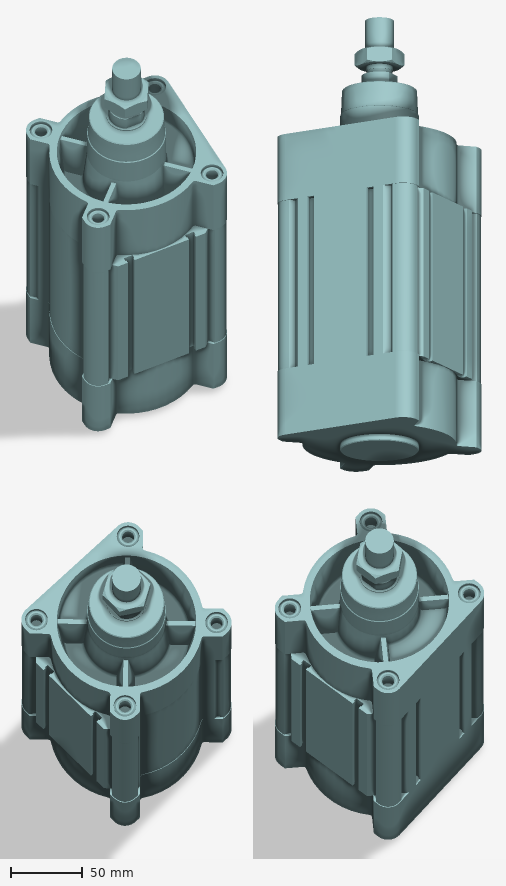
import cadquery as cq
import math

total_height = 311.5
collar_height = 4.5
cap_height = 48.0
barrel_height = 122.0
barrel_bottom = collar_height + cap_height
barrel_top = barrel_bottom + barrel_height
cap_top = barrel_top + cap_height
guide_height = 20.5
guide_top = cap_top + guide_height
nose_height = 17.8
nose_top = guide_top + nose_height
wiper_lip_height = 0.9

thread_length = 40.0
shoulder = total_height - thread_length
relief_length = 3.5
nut_height = 11.0
nut_bottom = shoulder + 6.5
nut_top = nut_bottom + nut_height

cap_width = 110.0
bolt_spacing = 89.0
bolt_offset = bolt_spacing / 2
corner_radius = (cap_width - bolt_spacing) / 2
wall_radius = 54.0
lobe_width = 20.8
valley_fillet = 2.0
guide_diameter = 55.0
edge_chamfer = 0.6

barrel_width = 109.0
barrel_wall_radius = wall_radius - 0.3
barrel_corner_radius = (barrel_width - bolt_spacing) / 2
notch_floor = 50.7
notch_inner = 38.9
notch_outer = 41.7
panel_half_width = 34.2
slot_position = 23.9
slot_mouth = 5.4
slot_inner_width = 6.8
slot_depth = 4.8
slot_lip = 2.2

deep_pocket_depth = 30.0
shallow_pocket_depth = 13.0
recess_rim_radius = 48.7
deep_wall_foot = 44.0
deep_hub_foot = 30.7
shallow_wall_foot = 47.0
shallow_hub_foot = 28.6
recess_fillet = 2.0
rib_drop = 2.7
rib_top_half_width = 1.7
rib_base_half_width = 6.4

nose_base_diameter = 54.0
nose_top_diameter = 52.4
wiper_lip_diameter = 28.0

screw_recess_diameter = 15.8
screw_recess_depth = 3.0
screw_head_diameter = 15.0
screw_head_drop = 0.8
screw_head_chamfer = 1.3
screw_hole_diameter = 8.38
screw_hole_depth = 12.0
screw_hole_countersink = 10.4

rod_diameter = 25.0
rod_flats = 22.0
flat_bottom = nose_top + wiper_lip_height
thread_diameter = 20.0
thread_end_diameter = 18.63
relief_diameter = 17.9
rod_bottom = barrel_top
nut_across_flats = 30.0
nut_chamfer_angle = math.radians(30)


def block(width, depth, bottom, top):
    """Box centred on the Z axis."""
    return cq.Workplane("XY").workplane(offset=bottom).rect(width, depth).extrude(top - bottom)


def disc(diameter, bottom, top):
    """Cylinder on the Z axis."""
    return cq.Workplane("XY").workplane(offset=bottom).circle(diameter / 2).extrude(top - bottom)


def plate(points, bottom, top):
    """Straight extrusion of a closed polygon."""
    return cq.Workplane("XY").workplane(offset=bottom).polyline(points).close().extrude(top - bottom)


def corner_lobes(width, radius, bottom, top):
    """Four lobes around the corner screws: two diagonal bands trimmed to a rounded square."""
    square = block(width, width, bottom, top).edges("|Z").fillet(radius)
    band = block(2 * width, lobe_width, bottom, top)
    bands = band.rotate((0, 0, 0), (0, 0, 1), 45).union(band.rotate((0, 0, 0), (0, 0, 1), -45))
    return square.intersect(bands)


def end_cap(bottom, top):
    """Round cap with four corner lobes and a full flat on the +Y side."""
    body = disc(2 * wall_radius, bottom, top).union(corner_lobes(cap_width, corner_radius, bottom, top))
    half_width = cap_width / 2
    flat_start = wall_radius / 2
    flat_side = block(bolt_spacing, half_width - flat_start, bottom, top)
    body = body.union(flat_side.translate((0, (half_width + flat_start) / 2, 0)))
    near, far = lobe_valley(wall_radius)
    valleys = [(near, -far), (-near, -far), (far, near), (-far, near), (far, -near), (-far, -near)]
    return fillet_valleys(body, valleys, (bottom + top) / 2)


def lobe_valley(radius):
    """Smaller and larger coordinate of the concave corner between a round wall and a lobe."""
    offset = lobe_width / math.sqrt(2)
    near = (math.sqrt(2 * radius ** 2 - offset ** 2) - offset) / 2
    return near, near + offset


def fillet_valleys(body, valleys, middle):
    """Round the upright concave corners at the given XY positions."""
    for x, y in valleys:
        corner = cq.selectors.NearestToPointSelector((x, y, middle))
        body = body.edges(corner).fillet(valley_fillet)
    return body


def barrel():
    """Profile barrel: notched corner lobes and slotted panels on three sides."""
    bottom, top = barrel_bottom, barrel_top
    half_width = barrel_width / 2
    lobes = corner_lobes(barrel_width, barrel_corner_radius, bottom, top)
    outside = cap_width
    notch = plate(
        [(0, notch_floor), (notch_inner, notch_floor), (notch_outer, half_width), (notch_outer, outside), (0, outside)],
        bottom, top,
    )
    notch = notch.union(notch.mirror("YZ"))
    for quarter in range(4):
        lobes = lobes.cut(notch.rotate((0, 0, 0), (0, 0, 1), 90 * quarter))
    body = disc(2 * barrel_wall_radius, bottom, top).union(lobes)
    near, far = lobe_valley(barrel_wall_radius)
    body = fillet_valleys(body, [(near, -far), (-near, -far)], (bottom + top) / 2)
    panel = slotted_panel(bottom, top)
    for angle in (0, 90, 180):
        body = body.union(panel.rotate((0, 0, 0), (0, 0, 1), angle))
    for angle in (0, 90, 180):
        body = body.cut(panel_slots(bottom, top).rotate((0, 0, 0), (0, 0, 1), angle))
    return body


def slotted_panel(bottom, top):
    """Flat panel on the +X side with 45-degree edges running down to the notch floor."""
    face = cap_width / 2
    foot = panel_half_width + face - notch_floor
    inner = wall_radius / 2
    return plate(
        [(inner, -inner), (notch_floor, -foot), (face, -panel_half_width),
         (face, panel_half_width), (notch_floor, foot), (inner, inner)],
        bottom, top,
    )


def panel_slots(bottom, top):
    """Pair of sensor slots on the +X side, each wider behind its mouth."""
    face = cap_width / 2
    inner_depth = slot_depth - slot_lip
    mouth = block(slot_depth, slot_mouth, bottom, top).translate((face - slot_depth / 2, 0, 0))
    wide = block(inner_depth, slot_inner_width, bottom, top)
    slot = mouth.union(wide.translate((face - slot_depth + inner_depth / 2, 0, 0)))
    return slot.translate((0, slot_position, 0)).union(slot.translate((0, -slot_position, 0)))


def ring_pocket(depth, wall_foot_radius, hub_foot_radius, start_angle, sweep):
    """Drafted pocket around the hub, rounded at its floor, sweeping part of a ring from an angle off +X."""
    hub_radius = guide_diameter / 2
    floor = cap_top - depth
    pocket = (
        cq.Workplane("XZ")
        .polyline([(hub_radius, cap_top), (recess_rim_radius, cap_top),
                   (wall_foot_radius, floor), (hub_foot_radius, floor)])
        .close()
        .revolve(sweep, (0, 0, 0), (0, 1, 0))
    )
    pocket = pocket.faces("<Z").edges("%CIRCLE").fillet(recess_fillet)
    return pocket.rotate((0, 0, 0), (0, 0, 1), start_angle)


def recess_ribs():
    """Four diagonal ribs with sloping flanks that tie the hub to the cap wall."""
    floor = cap_top - deep_pocket_depth
    top = cap_top - rib_drop
    length = 2 * recess_rim_radius + 2 * recess_fillet
    rib = (
        cq.Workplane("YZ")
        .polyline([(-rib_base_half_width, floor), (-rib_top_half_width, top),
                   (rib_top_half_width, top), (rib_base_half_width, floor)])
        .close()
        .extrude(length / 2, both=True)
    )
    return rib.rotate((0, 0, 0), (0, 0, 1), 45).union(rib.rotate((0, 0, 0), (0, 0, 1), -45))


def front_recess():
    """Pockets between the ribs: a shallow one in the +Y quarter and a deep one around the rest."""
    ribs = recess_ribs()
    deep = ring_pocket(deep_pocket_depth, deep_wall_foot, deep_hub_foot, 135, 270)
    shallow = ring_pocket(shallow_pocket_depth, shallow_wall_foot, shallow_hub_foot, 45, 90)
    return deep.cut(ribs), shallow.cut(ribs)


def bearing_nose():
    """Guide cylinder, tapered nose and wiper lip around the rod."""
    guide = disc(guide_diameter, barrel_top, guide_top).faces(">Z").edges().chamfer(edge_chamfer)
    nose = (
        cq.Workplane("XY").workplane(offset=guide_top).circle(nose_base_diameter / 2)
        .workplane(offset=nose_height).circle(nose_top_diameter / 2).loft()
    )
    nose = nose.faces(">Z").edges().chamfer(edge_chamfer)
    lip = disc(wiper_lip_diameter, nose_top, nose_top + wiper_lip_height)
    return guide.union(nose).union(lip)


def screw_recess():
    """Counterbore holding a hollow screw head, as the volume removed at one corner."""
    bottom = cap_top - screw_recess_depth
    head_top = cap_top - screw_head_drop
    head = disc(screw_head_diameter, bottom, head_top).faces(">Z").edges().chamfer(screw_head_chamfer)
    hole = disc(screw_hole_diameter, head_top - screw_hole_depth, cap_top)
    sink = (screw_hole_countersink - screw_hole_diameter) / 2
    countersink = (
        cq.Workplane("XY").workplane(offset=head_top - sink).circle(screw_hole_diameter / 2)
        .workplane(offset=sink).circle(screw_hole_countersink / 2).loft()
    )
    return disc(screw_recess_diameter, bottom, cap_top).cut(head).union(hole).union(countersink)


def make_housing():
    """Cylinder housing: rear cap, barrel, front cap and bearing nose in one piece."""
    collar = disc(guide_diameter, 0, collar_height).faces("<Z").edges().chamfer(edge_chamfer)
    body = collar.union(end_cap(collar_height, barrel_bottom)).union(barrel())
    front_cap = end_cap(barrel_top, cap_top)
    for pocket in front_recess():
        front_cap = front_cap.cut(pocket)
    body = body.union(front_cap)
    body = body.union(bearing_nose())
    for x in (-bolt_offset, bolt_offset):
        for y in (-bolt_offset, bolt_offset):
            body = body.cut(screw_recess().translate((x, y, 0)))
    return body.cut(disc(rod_diameter, rod_bottom, nose_top + wiper_lip_height))


def make_rod():
    """Piston rod with spanner flats, thread relief and threaded end."""
    flats = block(rod_flats, rod_diameter, flat_bottom, shoulder)
    body = disc(rod_diameter, rod_bottom, flat_bottom)
    body = body.union(disc(rod_diameter, flat_bottom, shoulder).intersect(flats))
    body = body.union(disc(relief_diameter, shoulder, shoulder + relief_length))
    body = body.union(disc(thread_end_diameter, shoulder + relief_length, nut_bottom))
    return body.union(disc(thread_diameter, nut_bottom, total_height))


def make_nut():
    """Hexagon nut with corners on the Y axis and chamfered on both faces."""
    across_corners = nut_across_flats / math.cos(math.radians(30))
    hexagon = cq.Workplane("XY").workplane(offset=nut_bottom).polygon(6, across_corners).extrude(nut_height)
    hexagon = hexagon.rotate((0, 0, 0), (0, 0, 1), 90)
    chamfer_width = (across_corners - nut_across_flats) / 2
    envelope = disc(across_corners, nut_bottom, nut_top)
    envelope = envelope.faces("<Z or >Z").edges().chamfer(chamfer_width * math.tan(nut_chamfer_angle), chamfer_width)
    return hexagon.intersect(envelope).cut(disc(thread_diameter, nut_bottom, nut_top))


housing = make_housing()
rod = make_rod()
nut = make_nut()

result = cq.Compound.makeCompound([housing.val(), rod.val(), nut.val()])